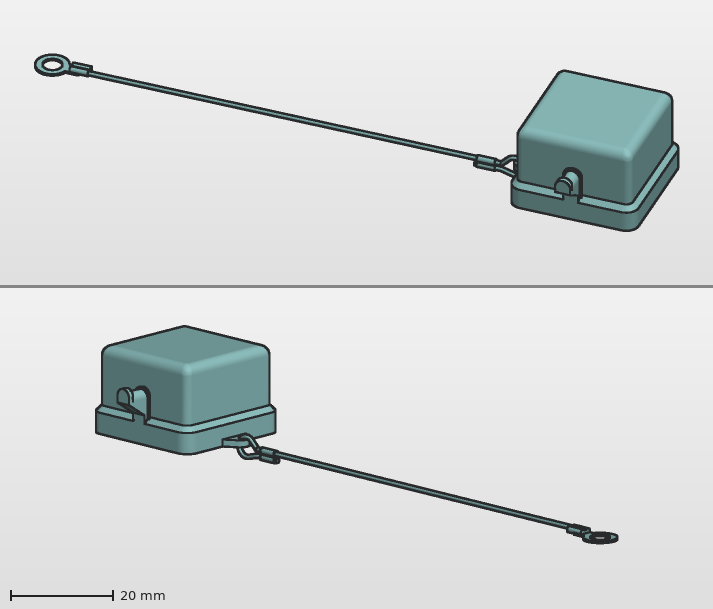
import cadquery as cq
import math

overall_length = 130.8
overall_width = 35.0

skirt_length = 26.5
skirt_width = 26.3
skirt_edge_height = 4.3
skirt_margin = 1.2
body_corner_radius = 1.5
body_top_radius = 2.0
cover_height = 17.5

pin_width = 3.1
pin_axis_height = 9.4
pin_root_flare = 0.4
pin_lip_length = 1.2
pin_lip_rise = 0.9
pin_tip_bottom = 8.9
pin_rib_bottom = 6.0

tab_thickness = 1.5
tab_length = 3.5
tab_root_width = 6.5
tab_nose_width = 3.4
tab_nose_length = 1.0

cord_radius = 0.46
sleeve_radius = 0.7
sleeve_length = 3.8
loop_outer_radius = 2.5
loop_from_skirt = 3.4
loop_fork_distance = 2.9
loop_sleeve_distance = 4.2
cord_tail = 0.5

ring_outer_radius = 3.4
ring_hole_radius = 2.0
ring_thickness = 0.4
ring_sleeve_distance = 4.0

body_length = skirt_length - 2 * skirt_margin
body_width = skirt_width - 2 * skirt_margin
skirt_corner_radius = body_corner_radius + skirt_margin
skirt_height = skirt_edge_height + skirt_margin
sleeve_pitch = 2 * sleeve_radius
sleeve_width = sleeve_pitch + 2 * sleeve_radius
loop_radius = loop_outer_radius - cord_radius
skirt_left = -skirt_length / 2
loop_x = skirt_left - loop_from_skirt
loop_sleeve_x = loop_x - loop_sleeve_distance - sleeve_length
ring_x = skirt_length / 2 - overall_length + ring_outer_radius
ring_y = sleeve_pitch / 2
ring_sleeve_x = ring_x + ring_sleeve_distance


def make_cover():
    skirt = (
        cq.Workplane("XY")
        .rect(skirt_length, skirt_width)
        .extrude(skirt_height)
        .edges("|Z")
        .fillet(skirt_corner_radius)
        .faces(">Z")
        .chamfer(skirt_margin)
    )
    body = (
        cq.Workplane("XY")
        .rect(body_length, body_width)
        .extrude(cover_height)
        .edges("|Z")
        .fillet(body_corner_radius)
        .faces(">Z")
        .edges()
        .fillet(body_top_radius)
    )
    return skirt.union(body)


def arch(y_start, y_end, width, bottom, axis_height):
    """Upright bar along Y with a half-round top."""
    return (
        cq.Workplane("XZ", origin=(0, y_start, 0))
        .moveTo(-width / 2, bottom)
        .lineTo(-width / 2, axis_height)
        .threePointArc((0, axis_height + width / 2), (width / 2, axis_height))
        .lineTo(width / 2, bottom)
        .close()
        .extrude(y_start - y_end)
    )


def make_front_pin():
    wall = -body_width / 2
    tip = -overall_width / 2
    lip_start = tip + pin_lip_length
    shaft = arch(0, tip, pin_width, skirt_edge_height / 2, pin_axis_height)
    lip = arch(lip_start, tip, pin_width, pin_axis_height, pin_axis_height + pin_lip_rise)
    profile = (
        cq.Workplane("YZ", origin=(-pin_width / 2, 0, 0))
        .moveTo(0, 0)
        .lineTo(-skirt_width / 2, 0)
        .lineTo(-skirt_width / 2, pin_rib_bottom)
        .lineTo(tip, pin_tip_bottom)
        .lineTo(tip, cover_height)
        .lineTo(0, cover_height)
        .close()
        .extrude(pin_width)
    )
    root_width = pin_width + 2 * pin_root_flare
    root = arch(0, wall - pin_root_flare, root_width, skirt_edge_height / 2, pin_axis_height)
    return shaft.union(lip).intersect(profile).union(root)


def make_tab():
    nose_start = skirt_left - tab_length + tab_nose_length
    return (
        cq.Workplane("XY")
        .moveTo(0, -tab_root_width / 2)
        .lineTo(skirt_left, -tab_root_width / 2)
        .lineTo(nose_start, -tab_nose_width / 2)
        .threePointArc((skirt_left - tab_length, 0), (nose_start, tab_nose_width / 2))
        .lineTo(skirt_left, tab_root_width / 2)
        .lineTo(0, tab_root_width / 2)
        .close()
        .extrude(tab_thickness)
    )


def rod(x_start, length, radius, y=0, z=0):
    return cq.Workplane("YZ", origin=(x_start, y, z)).circle(radius).extrude(length)


def loop_point(angle):
    return (loop_x + loop_radius * math.cos(angle), loop_radius * math.sin(angle))


def tangent_angle(z):
    """Angle between the line to the fork point at height z and the loop's tangent point."""
    return math.acos(loop_radius / math.hypot(loop_fork_distance, z))


def make_loop():
    start_x = loop_x - loop_sleeve_distance
    fork_x = loop_x - loop_fork_distance
    lower_z = -sleeve_pitch
    upper_angle = math.pi - tangent_angle(0)
    lower_angle = tangent_angle(lower_z) - math.pi + math.atan2(-lower_z, loop_fork_distance)
    path = (
        cq.Workplane("XZ")
        .moveTo(start_x, 0)
        .lineTo(fork_x, 0)
        .lineTo(*loop_point(upper_angle))
        .threePointArc(loop_point((upper_angle + lower_angle) / 2), loop_point(lower_angle))
        .lineTo(fork_x, lower_z)
        .lineTo(start_x, lower_z)
    )
    section = cq.Workplane("YZ", origin=(start_x, 0, 0)).circle(cord_radius)
    return section.sweep(path, transition="round")


def make_cord():
    """Straight cord between the sleeves, with its cut end sticking out of the loop sleeve."""
    cord = rod(ring_sleeve_x, loop_sleeve_x + sleeve_length - ring_sleeve_x, cord_radius)
    tail_length = sleeve_length + cord_tail
    loop_tail = rod(loop_sleeve_x - cord_tail, tail_length, cord_radius, z=-sleeve_pitch)
    return cord.union(loop_tail)


def make_sleeve(x_start, y_step, z_step):
    """Crimp sleeve: two touching barrels, joined by a web where they meet."""
    web_size = sleeve_radius
    sleeve = rod(x_start, sleeve_length, sleeve_radius)
    sleeve = sleeve.union(rod(x_start, sleeve_length, sleeve_radius, y_step, z_step))
    web = (
        cq.Workplane("YZ", origin=(x_start, y_step / 2, z_step / 2))
        .rect(web_size, web_size)
        .extrude(sleeve_length)
    )
    return sleeve.union(web)


def make_ring():
    base = cq.Workplane("XY", origin=(ring_x, ring_y, -sleeve_radius))
    disc = base.circle(ring_outer_radius).extrude(ring_thickness)
    neck_length = ring_sleeve_distance + sleeve_length / 2
    neck = (
        base.center(neck_length / 2, 0)
        .rect(neck_length, sleeve_width)
        .extrude(ring_thickness)
    )
    hole = base.circle(ring_hole_radius).extrude(ring_thickness)
    return disc.union(neck).cut(hole)


front_pin = make_front_pin()
result = (
    make_cover()
    .union(front_pin)
    .union(front_pin.mirror("XZ"))
    .union(make_tab())
    .union(make_loop())
    .union(make_cord())
    .union(make_sleeve(loop_sleeve_x, 0, -sleeve_pitch))
    .union(make_sleeve(ring_sleeve_x, sleeve_pitch, 0))
    .union(make_ring())
)